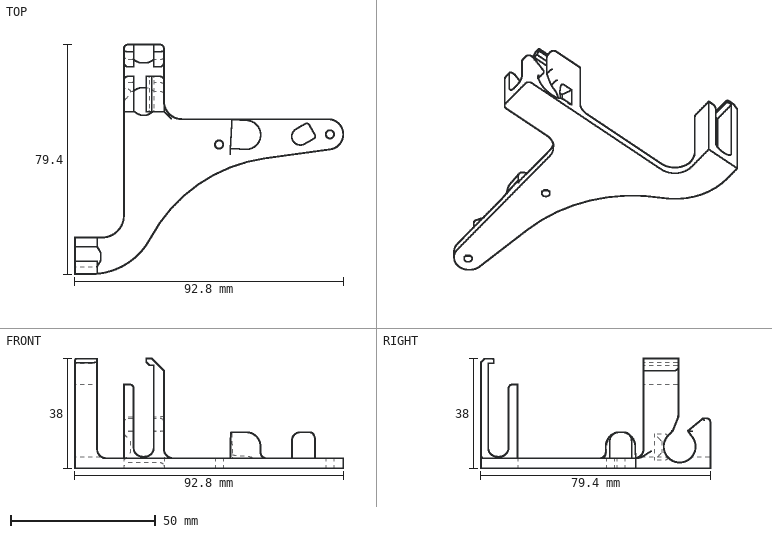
import cadquery as cq
import math

plate_thickness = 3.5
total_height = 38.0
root_fillet = 3.1
slot_floor = 4.1
slot_corner = 3.0
short_wall_top = 29.0
wall_round = 1.5

length = 92.75
plate_left = 16.9
arm_top = 53.6
arm_end_radius = 5.3
arm_corner_radius = 6.1
tail_width = 12.7
tail_corner_radius = 7.5
tail_arc_start = 5.6
tail_radius = 23.2
tail_sweep = math.radians(62)
belly_radius = 53.1

tower_width = 13.9
tower_front = 56.2
tower_back = 68.4
tower_right = plate_left + tower_width
clip_back = 79.4
edge_round = 1.5
channel_left = 20.3
channel_right = 27.2

ring_y = 68.7
ring_z = 7.5
ring_radius = 5.5

bracket_length = 7.7
outer_leg = 2.6
inner_leg = 3.15

margin = 0.1

hole_diameter = 2.8
hole_centers = [(49.8, 44.8), (88.1, 48.3)]
pin_top = 12.5


def unit(angle):
    return cq.Vector(math.cos(angle), math.sin(angle))


def plate_outline():
    """Closed plan outline of the plate; the belly arc is tangent to the tail arc and the arm edge."""
    tail_center = cq.Vector(tail_arc_start, tail_radius)
    tip_center = cq.Vector(length - arm_end_radius, arm_top - arm_end_radius)
    tail_end_direction = unit(tail_sweep - math.pi / 2)
    belly_center = tail_center + tail_end_direction * (tail_radius + belly_radius)

    to_tip = tip_center - belly_center
    tip_bearing = math.atan2(to_tip.y, to_tip.x)
    edge_normal = tip_bearing + math.acos((belly_radius + arm_end_radius) / to_tip.Length)

    tail_mid = tail_center + unit(tail_sweep / 2 - math.pi / 2) * tail_radius
    tail_end = tail_center + tail_end_direction * tail_radius
    belly_mid = belly_center + unit((edge_normal + tail_sweep + math.pi / 2) / 2) * belly_radius
    belly_end = belly_center + unit(edge_normal) * belly_radius
    tip_start = tip_center - unit(edge_normal) * arm_end_radius
    return (
        cq.Workplane("XY")
        .moveTo(0, 0)
        .lineTo(tail_arc_start, 0)
        .threePointArc(tail_mid.toTuple()[:2], tail_end.toTuple()[:2])
        .threePointArc(belly_mid.toTuple()[:2], belly_end.toTuple()[:2])
        .lineTo(tip_start.x, tip_start.y)
        .threePointArc((length, tip_center.y), (tip_center.x, arm_top))
        .lineTo(tower_right + arm_corner_radius, arm_top)
        .radiusArc((tower_right, arm_top + arm_corner_radius), arm_corner_radius)
        .lineTo(plate_left, arm_top + arm_corner_radius)
        .lineTo(plate_left, tail_width + tail_corner_radius)
        .radiusArc((plate_left - tail_corner_radius, tail_width), tail_corner_radius)
        .lineTo(0, tail_width)
        .close()
    )


def box(x0, x1, y0, y1, z0, z1):
    return cq.Workplane("XY").box(x1 - x0, y1 - y0, z1 - z0, centered=False).translate((x0, y0, z0))


def root_strip(plane, origin, run):
    """Concave fillet strip rising from the plate, square corner at the origin of the plane."""
    return (
        cq.Workplane(plane, origin=origin)
        .lineTo(root_fillet, 0)
        .radiusArc((0, root_fillet), root_fillet)
        .close()
        .extrude(run)
    )


def u_slot(low, high, top, plane, origin, run):
    """U-shaped slot cutter between two walls, with rounded floor corners."""
    return (
        cq.Workplane(plane, origin=origin)
        .moveTo(low, top)
        .lineTo(low, slot_floor + slot_corner)
        .radiusArc((low + slot_corner, slot_floor), -slot_corner)
        .lineTo(high - slot_corner, slot_floor)
        .radiusArc((high, slot_floor + slot_corner), -slot_corner)
        .lineTo(high, top)
        .close()
        .extrude(run)
    )


plate = plate_outline().extrude(plate_thickness)
footprint = plate_outline().extrude(total_height)



def tower_side_profile():
    """Tower and open cable ring as seen along X, with all exposed side edges rounded."""
    lip_top = 17.3
    lip_front = 76.9
    lip_tip = (71.6, 13.0)
    guide_run = 1.5
    guide_top = 17.9
    ring_offset = ring_radius * math.sqrt(0.5)
    guide_bottom = (ring_y - ring_offset + guide_run, ring_z + ring_offset + guide_run)
    body = (
        cq.Workplane("YZ", origin=(plate_left, 0, 0))
        .moveTo(tower_front, 0)
        .lineTo(clip_back, 0)
        .lineTo(clip_back, lip_top - edge_round)
        .radiusArc((clip_back - edge_round, lip_top), -edge_round)
        .lineTo(lip_front, lip_top)
        .lineTo(*lip_tip)
        .lineTo(ring_y + ring_offset, ring_z + ring_offset)
        .threePointArc((ring_y, ring_z - ring_radius), (ring_y - ring_offset, ring_z + ring_offset))
        .lineTo(*guide_bottom)
        .lineTo(tower_back, guide_top)
        .lineTo(tower_back, total_height)
        .lineTo(tower_front, total_height)
        .close()
        .extrude(tower_width)
    )
    rounded = cq.selectors.BoxSelector(
        (plate_left - margin, tower_front + margin, margin),
        (tower_right + margin, clip_back + margin, total_height - margin),
    )
    return body.faces("<X or >X").edges(rounded).fillet(edge_round)


def tower_end_profile():
    """Short left wall and tall hooked right wall as seen along Y, before the channel is cut."""
    nose_left = 24.6
    nose_bottom = 35.6
    nose_chamfer = 1.1
    nose_flat = 1.95
    ramp = tower_right - nose_left - nose_flat
    outline = (
        cq.Workplane("XZ", origin=(0, clip_back, 0))
        .moveTo(plate_left, 0)
        .lineTo(tower_right, 0)
        .lineTo(tower_right, total_height - ramp)
        .lineTo(nose_left + nose_flat, total_height)
        .lineTo(nose_left, total_height)
        .lineTo(nose_left, nose_bottom + nose_chamfer)
        .lineTo(nose_left + nose_chamfer, nose_bottom)
        .lineTo(channel_right, nose_bottom)
        .lineTo(channel_right, short_wall_top - wall_round)
        .lineTo(channel_left, short_wall_top - wall_round)
        .radiusArc((channel_left - wall_round, short_wall_top), -wall_round)
        .lineTo(plate_left, short_wall_top)
        .close()
    )
    return outline.extrude(clip_back - tower_front)


def ring_relief():
    """Tapered pocket in the left face of the tower, opening into the cable ring."""
    front = 59.9
    bottom = 3.0
    top = 12.0
    depth = 2.2
    front_draft = 2.6
    end_draft = 2.6
    mouth = (front, bottom), (ring_y, bottom), (ring_y, top), (front, top)
    floor = (
        (front + front_draft, bottom + end_draft),
        (ring_y, bottom + end_draft),
        (ring_y, top - end_draft),
        (front + front_draft, top - end_draft),
    )
    return (
        cq.Workplane("YZ", origin=(plate_left, 0, 0))
        .polyline(mouth)
        .close()
        .workplane(offset=depth)
        .polyline(floor)
        .close()
        .loft(ruled=True)
    )


def tower_roots():
    """Fillets on the front and right of the tower, mitred at the corner and trimmed to the plate."""
    front = root_strip("YZ", (plate_left, tower_front, plate_thickness), tower_width + root_fillet)
    front = front.mirror("XZ", (0, tower_front, 0))
    side_run = arm_corner_radius + root_fillet
    side = root_strip("XZ", (tower_right, tower_front + side_run, plate_thickness), side_run + root_fillet)
    left_of_corner = front.intersect(box(plate_left, tower_right, 0, length, 0, total_height))
    behind_corner = side.intersect(box(0, length, tower_front, length, 0, total_height))
    roots = left_of_corner.union(behind_corner).union(front.intersect(side))
    return roots.intersect(footprint)


def clip_tower():
    """Hooked walls over an open cable ring, with the U channel running through them along Y."""
    body = tower_side_profile().intersect(tower_end_profile()).cut(ring_relief()).union(tower_roots())
    channel_top = short_wall_top - wall_round
    channel_run = clip_back - tower_front + root_fillet
    channel = u_slot(channel_left, channel_right, channel_top, "XZ", (0, clip_back, 0), channel_run)
    return body.cut(channel)


def tail_bracket():
    """Two-legged bracket on the tail; the outer leg carries an inward lip."""
    lip_end = 4.5
    lip_bottom = 36.3
    lip_round = 0.65
    ramp = 1.4
    lip_thickness = 1.7
    top = lip_bottom + lip_thickness
    slot_end = tail_width - inner_leg
    body = (
        cq.Workplane("YZ")
        .lineTo(tail_width, 0)
        .lineTo(tail_width, short_wall_top)
        .lineTo(slot_end + wall_round, short_wall_top)
        .radiusArc((slot_end, short_wall_top - wall_round), -wall_round)
        .lineTo(slot_end, lip_bottom)
        .lineTo(lip_end, lip_bottom)
        .lineTo(lip_end, top)
        .lineTo(ramp, top)
        .lineTo(0, top - ramp)
        .close()
        .extrude(bracket_length)
    )
    lip_edges = cq.selectors.BoxSelector(
        (-margin, margin, lip_bottom + margin), (bracket_length - margin, lip_end + margin, top + margin)
    )
    body = body.edges(lip_edges).fillet(lip_round)
    slot = u_slot(outer_leg, slot_end, lip_bottom, "YZ", (0, 0, 0), bracket_length + root_fillet)
    root = root_strip("XZ", (bracket_length, tail_width, plate_thickness), tail_width)
    return body.union(root).cut(slot).intersect(footprint)


def domed_stop():
    """Half-round stop with a spherical end and a fillet around its foot."""
    radius = 5.0
    foot = 1.95
    straight = 5.2
    spring = pin_top - radius
    center = (59.2, 48.1, 0)
    turn = -3.3
    section = (
        cq.Workplane("XZ")
        .moveTo(0, plate_thickness)
        .lineTo(radius + foot, plate_thickness)
        .radiusArc((radius, plate_thickness + foot), foot)
        .lineTo(radius, spring)
        .radiusArc((0, pin_top), -radius)
        .close()
        .wire()
    )
    rounded_end = section.toPending().revolve(360, (0, 0), (0, 1))
    half = section.toPending().extrude(straight)
    barrel = half.union(half.mirror("YZ")).rotate((0, 0, 0), (0, 0, 1), -90)
    stop = rounded_end.intersect(box(0, length, -length, length, 0, length)).union(barrel)
    return stop.rotate((0, 0, 0), (0, 0, 1), turn).translate(center).intersect(footprint)


def pill_pin():
    """Slanted pin, round and domed at one end, flat with softened edges at the other."""
    radius = 3.0
    straight = 4.6
    end_round = 1.0
    center = (77.9, 47.6, 0)
    turn = 30
    spring = pin_top - radius
    bar = (
        cq.Workplane("YZ")
        .moveTo(-radius, plate_thickness)
        .lineTo(radius, plate_thickness)
        .lineTo(radius, spring)
        .threePointArc((0, pin_top), (-radius, spring))
        .close()
        .extrude(straight)
    )
    softened = bar.faces(">X").edges("not <Z").fillet(end_round)
    post = cq.Workplane("XY", origin=(0, 0, plate_thickness)).circle(radius).extrude(spring - plate_thickness)
    dome = cq.Workplane("XY").sphere(radius).translate((0, 0, spring))
    pin = softened.union(post).union(dome)
    return pin.rotate((0, 0, 0), (0, 0, 1), turn).translate(center)


def arm_holes():
    return cq.Workplane("XY").pushPoints(hole_centers).circle(hole_diameter / 2).extrude(plate_thickness)


result = plate.cut(arm_holes())
for feature in (clip_tower(), tail_bracket(), domed_stop(), pill_pin()):
    result = result.union(feature)